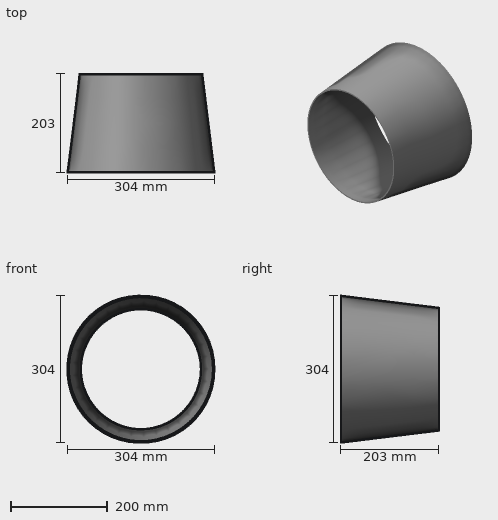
import cadquery as cq

large_diameter = 304.0
small_diameter = 254.0
wall_thickness = 3.0
length = 203.0

large_radius = large_diameter / 2
small_radius = small_diameter / 2


def make_reducer():
    """Revolve the slanted wall section about the Y axis, large end at Y = 0."""
    wall_section = cq.Workplane("XY").polyline([
        (large_radius - wall_thickness, 0),
        (large_radius, 0),
        (small_radius, length),
        (small_radius - wall_thickness, length),
    ]).close()
    return wall_section.revolve(360, (0, 0, 0), (0, 1, 0))


result = make_reducer()